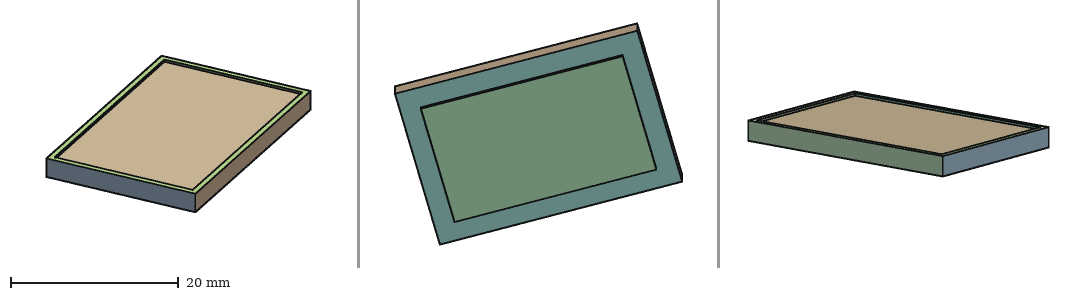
import cadquery as cq

length = 30.0
width = length * 2 / 3
height = 3.0

foot_height = height / 6
foot_inset = length / 12

rim_width = 0.75
recess_depth = 0.3


def inset_block(inset, bottom, thickness):
    """Centred block whose sides lie inside the tray outline by the inset."""
    return (
        cq.Workplane("XY")
        .workplane(offset=bottom)
        .rect(width - 2 * inset, length - 2 * inset)
        .extrude(thickness)
    )


foot = inset_block(foot_inset, 0, foot_height)
tray = inset_block(0, foot_height, height - foot_height)
recess = inset_block(rim_width, height - recess_depth, recess_depth)

result = tray.union(foot).cut(recess)